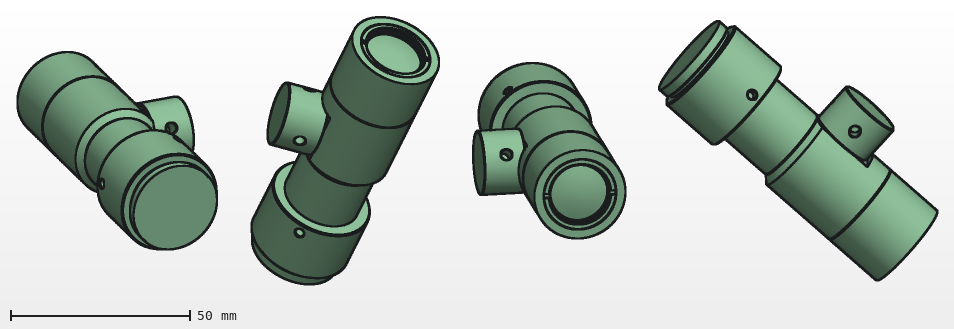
import cadquery as cq
import math


barrel_radius = 12.95
cap_length = 17.7
seam_chamfer = 0.2
bore_chamfer = 0.2
neck_radius = 11.0
shoulder_start = 41.1
shoulder_end = shoulder_start + barrel_radius - neck_radius
barrel_end = 43.3

overall_length = 81.5
collar_radius = 14.5
collar_start = 59.7
collar_length = 17.7
collar_chamfer = 0.3
flange_radius = 12.7
flange_length = 3.0
flange_chamfer = 0.25
groove_radius = 12.0
socket_depth = 8.15
collar_end = collar_start + collar_length
flange_start = overall_length - flange_length
neck_end = collar_start + socket_depth

port_radius = 9.0
port_x = 33.7
port_seat_y = 10.6
port_top_y = 22.5
port_chamfer = 0.25
port_seat_start = 24.2

screw_hole_chamfer = 0.25
screw_hole_count = 3
collar_hole_radius = 1.26
collar_hole_x = 62.7
collar_hole_depth = collar_radius - neck_radius + collar_hole_radius
collar_hole_first_angle = 52.2
port_hole_radius = 1.51
port_hole_y = 16.05
port_hole_depth = 5.7
port_hole_first_angle = 30.0

ring_radius = 10.2
step_radii = [8.7, 8.51, 8.3, 8.11]
step_length = 0.5
ring_chamfer = 0.2
ring_length = step_length * len(step_radii)
slot_width = 1.3
slot_depth = 0.8

lens_sphere_radius = 23.6
lens_edge_length = 2.0
lens_face_radius = step_radii[-1]
lens_back = ring_length + lens_edge_length
lens_sag = lens_sphere_radius - math.sqrt(lens_sphere_radius**2 - lens_face_radius**2)


def turned(profile):
    """Revolve a closed (x, radius) outline about the X axis."""
    return profile.close().revolve(360, (0, 0, 0), (1, 0, 0))


def cylinder_x(start, length, radius):
    return cq.Workplane("YZ", origin=(start, 0, 0)).circle(radius).extrude(length)


def cylinder_y(x, start, length, radius):
    plane = cq.Plane(origin=(x, start, 0), xDir=(1, 0, 0), normal=(0, 1, 0))
    return cq.Workplane(plane).circle(radius).extrude(length)


def hole_angles(first_angle):
    return [math.radians(first_angle + 360 * i / screw_hole_count) for i in range(screw_hole_count)]


def radial_hole(mouth, outward, radius, depth):
    """Screw hole with a chamfered mouth that runs inward by depth from a point on a cylinder."""
    mouth = cq.Vector(*mouth)
    outward = cq.Vector(*outward)
    shaft = cq.Solid.makeCylinder(radius, depth, mouth - outward * depth, outward)
    cone_start = mouth - outward * screw_hole_chamfer
    cone = cq.Solid.makeCone(radius, radius + screw_hole_chamfer, screw_hole_chamfer, cone_start, outward)
    return cq.Workplane(shaft).union(cq.Workplane(cone))


def make_cap():
    body = cylinder_x(0, cap_length, barrel_radius).faces(">X").chamfer(seam_chamfer)
    body = body.cut(cylinder_x(0, lens_back, ring_radius))
    bore_mouth = body.faces("<X").edges(cq.selectors.RadiusNthSelector(0))
    return bore_mouth.chamfer(bore_chamfer)


def make_barrel():
    body = turned(
        cq.Workplane("XY")
        .moveTo(cap_length, 0)
        .lineTo(cap_length, barrel_radius - seam_chamfer)
        .lineTo(cap_length + seam_chamfer, barrel_radius)
        .lineTo(shoulder_start, barrel_radius)
        .lineTo(shoulder_end, neck_radius)
        .lineTo(barrel_end, neck_radius)
        .lineTo(barrel_end, 0)
    )
    seat_cut = cq.Workplane("XY").box(
        barrel_end - port_seat_start,
        barrel_radius - port_seat_y,
        2 * barrel_radius,
        centered=(False, False, True),
    )
    seat_cut = seat_cut.translate((port_seat_start, port_seat_y, 0))
    return body.cut(seat_cut)


def make_neck():
    """Cylinder that butts against the barrel and plugs into the collar's socket."""
    return cylinder_x(barrel_end, neck_end - barrel_end, neck_radius)


def make_collar():
    body = cylinder_x(collar_start, collar_length, collar_radius).edges().chamfer(collar_chamfer)
    groove = cylinder_x(collar_end, flange_start - collar_end, groove_radius)
    flange = cylinder_x(flange_start, flange_length, flange_radius).faces("<X").chamfer(flange_chamfer)
    body = body.union(groove).union(flange)
    for angle in hole_angles(collar_hole_first_angle):
        outward = (0, math.cos(angle), math.sin(angle))
        mouth = (collar_hole_x, collar_radius * outward[1], collar_radius * outward[2])
        body = body.cut(radial_hole(mouth, outward, collar_hole_radius, collar_hole_depth))
    socket = cylinder_x(collar_start, socket_depth, neck_radius)
    return body.cut(socket)


def make_port():
    body = cylinder_y(port_x, port_seat_y, port_top_y - port_seat_y, port_radius)
    body = body.edges().chamfer(port_chamfer)
    for angle in hole_angles(port_hole_first_angle):
        outward = (math.cos(angle), 0, math.sin(angle))
        mouth = (port_x + port_radius * outward[0], port_hole_y, port_radius * outward[2])
        body = body.cut(radial_hole(mouth, outward, port_hole_radius, port_hole_depth))
    return body


def make_ring():
    body = cylinder_x(0, ring_length, ring_radius)
    for index, radius in enumerate(step_radii):
        body = body.cut(cylinder_x(index * step_length, step_length, radius))
    bore_mouth = body.faces("<X").edges(cq.selectors.RadiusNthSelector(0))
    body = bore_mouth.chamfer(ring_chamfer)
    slots = cq.Workplane("XY").box(slot_depth, 2 * ring_radius, slot_width, centered=(False, True, True))
    return body.cut(slots)


def make_lens():
    """Plano-convex lens whose dome bulges forward into the ring's bore."""
    middle_radius = lens_face_radius / 2
    middle_sag = lens_sphere_radius - math.sqrt(lens_sphere_radius**2 - middle_radius**2)
    apex_x = ring_length - lens_sag
    return turned(
        cq.Workplane("XY")
        .moveTo(apex_x, 0)
        .threePointArc((apex_x + middle_sag, middle_radius), (ring_length, lens_face_radius))
        .lineTo(ring_length, ring_radius)
        .lineTo(lens_back, ring_radius)
        .lineTo(lens_back, 0)
    )


cap = make_cap()
barrel = make_barrel()
neck = make_neck()
collar = make_collar()
port = make_port()
ring = make_ring()
lens = make_lens()

result = cq.Compound.makeCompound(
    [
        cap.val(),
        barrel.val(),
        neck.val(),
        collar.val(),
        port.val(),
        ring.val(),
        lens.val(),
    ]
)